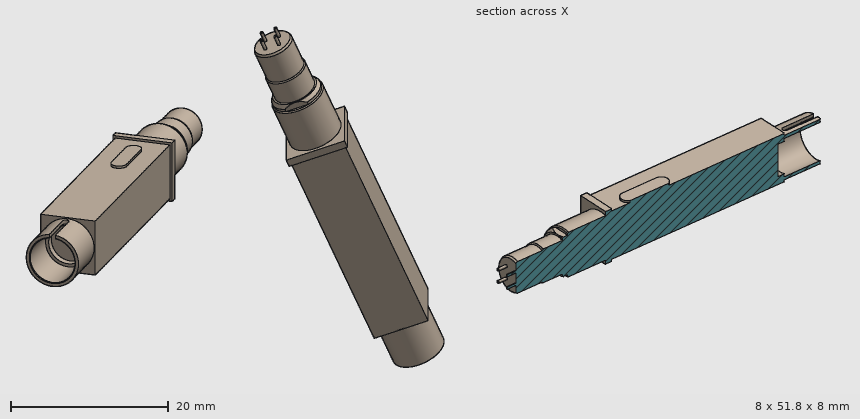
import cadquery as cq

length = 51.8
along_y = 90

housing_width = 7.35
housing_front = 5.95
cap_rear = 10.05
tab_width = 3.0
tab_length = 1.0
tab_depth = 0.5
flange_width = 8.0
flange_front = 34.5
flange_rear = 35.55

pad_width = 2.05
pad_length = 7.6
pad_center = 28.3
pad_height = (flange_width - housing_width) / 2

sleeve_radius = 3.5
bore_radius = 3.0
mouth_chamfer = 0.1
bore_depth = housing_front
inner_bore_radius = 2.6
inner_bore_depth = 1.05
slot_width = 0.85
slot_length = 5.5

barrel_radius = sleeve_radius
barrel_chamfer = 0.15
collar_radius = barrel_radius - barrel_chamfer
collar_front = 41.8
collar_cone_front = 42.15
collar_rear = 42.7
collar_tip_radius = 3.0
neck_radius = 2.75
neck_rear = 45.85
end_radius = 2.6
neck_taper = neck_radius - end_radius
end_chamfer_length = 0.3
end_chamfer = 0.15
tail_end = 50.35

pin_radius = 0.2
pin_offset = 0.95
pin_chamfer = 0.1


def square_bar(width, front, rear):
    return cq.Workplane("XY").box(width, rear - front, width).translate((0, (front + rear) / 2, 0))


def rod(radius, front, rear, x=0.0, z=0.0):
    axis_start = cq.Vector(x, front, z)
    return cq.Workplane(cq.Solid.makeCylinder(radius, rear - front, axis_start, cq.Vector(0, 1, 0)))


def tab_block():
    """Key of the front cap, let into the top of the housing."""
    block = cq.Workplane("XY").box(tab_width, tab_length, tab_depth)
    return block.translate((0, cap_rear + tab_length / 2, (housing_width - tab_depth) / 2))


def make_housing():
    cap = square_bar(housing_width, housing_front, cap_rear)
    main = square_bar(housing_width, cap_rear, flange_front).cut(tab_block())
    housing = main.union(cap.union(tab_block()), clean=False)
    flange = square_bar(flange_width, flange_front, flange_rear)
    pad = (
        cq.Workplane("XY", origin=(0, pad_center, housing_width / 2))
        .slot2D(pad_length, pad_width, along_y)
        .extrude(pad_height)
    )
    return housing.union(flange, clean=False).union(pad, clean=False)


def make_tail():
    """Barrel, collar, neck and end section, turned about the Y axis."""
    tail = (
        cq.Workplane("XY")
        .moveTo(0, flange_rear)
        .lineTo(barrel_radius, flange_rear)
        .lineTo(barrel_radius, collar_front - barrel_chamfer)
        .lineTo(collar_radius, collar_front)
        .lineTo(collar_radius, collar_cone_front)
        .lineTo(collar_tip_radius, collar_rear)
        .lineTo(neck_radius, collar_rear)
        .lineTo(neck_radius, neck_rear)
        .lineTo(end_radius, neck_rear + neck_taper)
        .lineTo(end_radius, tail_end - end_chamfer_length)
        .lineTo(end_radius - end_chamfer, tail_end)
        .lineTo(0, tail_end)
        .close()
        .revolve(360, (0, 0, 0), (0, 1, 0))
    )
    flat_length = collar_rear - collar_front
    flat_height = barrel_radius - collar_tip_radius
    for side in (-1, 1):
        flat = cq.Workplane("XY").box(2 * barrel_radius, flat_length, flat_height)
        z_center = side * (collar_tip_radius + flat_height / 2)
        tail = tail.cut(flat.translate((0, collar_front + flat_length / 2, z_center)))
    return tail


def make_pin(x, z):
    return rod(pin_radius, tail_end, length, x, z).faces(">Y").chamfer(pin_chamfer)


def cut_sleeve_openings(body):
    """Stepped bore with a chamfered mouth, and a round-ended slot through the top wall of the sleeve."""
    bore = rod(bore_radius, 0, bore_depth)
    mouth_radius = bore_radius + mouth_chamfer
    mouth = cq.Workplane(
        cq.Solid.makeCone(mouth_radius, bore_radius, mouth_chamfer, cq.Vector(0, 0, 0), cq.Vector(0, 1, 0))
    )
    body = body.cut(bore, clean=False).cut(mouth, clean=False)
    body = body.cut(rod(inner_bore_radius, bore_depth, bore_depth + inner_bore_depth), clean=False)
    slot = (
        cq.Workplane("XY")
        .slot2D(2 * slot_length, slot_width, along_y)
        .extrude(sleeve_radius)
    )
    return body.cut(slot, clean=False)


result = make_housing()
result = result.union(rod(sleeve_radius, 0, housing_front), clean=False)
result = result.union(make_tail(), clean=False)
for pin_x in (-pin_offset, pin_offset):
    for pin_z in (-pin_offset, pin_offset):
        result = result.union(make_pin(pin_x, pin_z), clean=False)
result = cut_sleeve_openings(result)